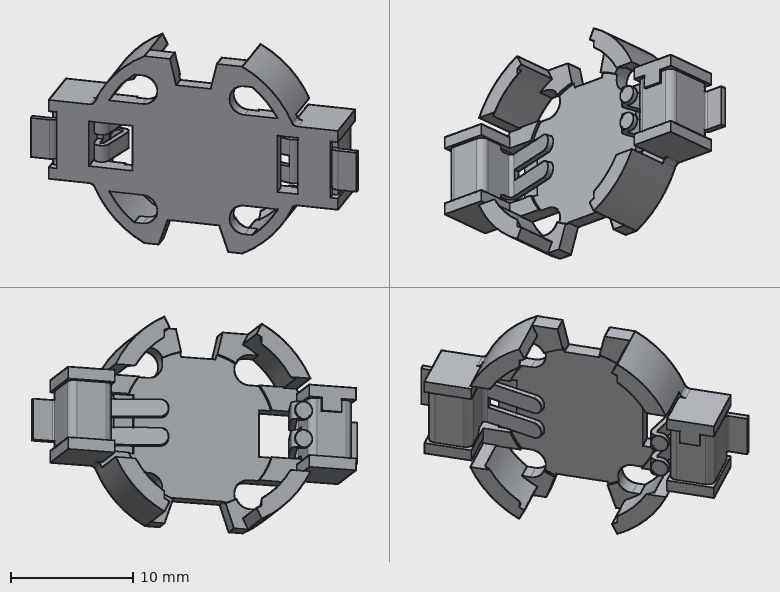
import cadquery as cq
import math


HOLDER_R = 9.2
SEAT_R = 8.2
HALF_HEIGHT = 8.2
BASE_T = 1.5
FLOOR_T = 1.25
RECESS_R = 6.5
WALL_TOP = 5.3
WALL_START_Z = 3.9
SNAP_R = 7.7
CORNER_R = 0.5

BLOCK_END = 12.3
BLOCK_START = 8.3
BLOCK_HALF_H = 3.45
BLOCK_TOP = 5.0
SADDLE_OUTER = 11.63
SADDLE_INNER = 8.9
SLOT_HALF_W = 2.47

NOTCH_FLOOR = 5.95
TOP_NOTCH = (1.47, 2.0)
BOTTOM_NOTCH = (2.2, 2.96)

WINDOW_LOW = 4.0
WINDOW_HIGH = 6.48
WINDOW_ROUND_X = 4.32

LEFT_OPENING_END = 5.18
LEFT_OPENING_HALF_W = 1.97
RIGHT_OPENING_END = 7.15
RELIEF_END = 5.55
RELIEF_FLOOR = 1.0

KEEPER_OUTER = 11.08
KEEPER_INNER = 9.42
KEEPER_LOW_Z = 1.35

STRIP_T = 0.5
INSIDE_R = 0.15
BEND_R = INSIDE_R + STRIP_T / 2
TAB_HALF_W = 1.72
LEFT_TAB_END = 13.82
RIGHT_TAB_END = 13.88
BODY_HALF_W = 2.4
BODY_BOTTOM = 0.65
BODY_TOP = 4.8
SHOULDER_Y = 2.5
SHOULDER_R = 0.3
FINGER_OUT = 1.9
FINGER_IN = 0.47
FINGER_R = (FINGER_OUT - FINGER_IN) / 2
FINGER_Z = (FINGER_OUT + FINGER_IN) / 2

SIDE_BEND_BOTTOM = 1.0
SIDE_FINGER_X = 6.87
SIDE_TIP_X = 7.75

FACE_BEND_R = 0.53
FACE_TIP = (2.88, 2.3)
FACE_SLOPE = 16


def box(x0, x1, y0, y1, z0, z1):
    size = (x1 - x0, y1 - y0, z1 - z0)
    return cq.Workplane("XY").box(*size, centered=False).translate((x0, y0, z0))


def back_plane(y=0):
    """Sketch plane with X to the right and Z up; extrude by a negative length to go toward +Y."""
    return cq.Workplane("XZ", origin=(0, y, 0))


def at_height(radius, z):
    """Point of a circle at height z, on the +X side."""
    return math.sqrt(radius**2 - z**2), z


def arc_middle(start, end, radius):
    """Middle of the arc about the origin between two of its points."""
    x, z = start[0] + end[0], start[1] + end[1]
    length = math.hypot(x, z)
    return x * radius / length, z * radius / length


def four_ways(solid):
    """The solid and its mirror images across the YZ and XY planes."""
    pair = solid.union(solid.mirror("YZ"))
    return pair.union(pair.mirror("XY"))


def base():
    disc = back_plane().circle(HOLDER_R).extrude(-BASE_T)
    disc = disc.intersect(box(-HOLDER_R, HOLDER_R, 0, BASE_T, -HALF_HEIGHT, HALF_HEIGHT))
    bar = box(-BLOCK_END, BLOCK_END, 0, BASE_T, -BLOCK_HALF_H, BLOCK_HALF_H)
    corner_x = at_height(HOLDER_R, BLOCK_HALF_H)[0]
    plate = disc.union(bar)
    for x in (-corner_x, corner_x):
        for z in (-BLOCK_HALF_H, BLOCK_HALF_H):
            corner = cq.selectors.NearestToPointSelector((x, BASE_T / 2, z))
            plate = plate.edges(corner).fillet(CORNER_R)
    return plate


def cell_walls():
    ring = back_plane().circle(HOLDER_R).circle(SEAT_R).extrude(-WALL_TOP)
    wall_end = at_height(HOLDER_R, HALF_HEIGHT)
    wall = ring.intersect(radial_sector(*wall_end))
    lip = snap_ring().intersect(box(wall_end[0], SEAT_R, 0, WALL_TOP, WALL_START_Z, SEAT_R))
    return four_ways(wall.union(lip))


def radial_sector(start_x, start_z):
    """Region above the wall's lower end, ended by the radial plane through a start point."""
    low_x = start_x * WALL_START_Z / start_z
    points = [(low_x, WALL_START_Z), (start_x, start_z), (HOLDER_R, start_z), (HOLDER_R, WALL_START_Z)]
    return back_plane().polyline(points).close().extrude(-WALL_TOP)


def snap_ring():
    height = SEAT_R - SNAP_R
    profile = [(SEAT_R, WALL_TOP - height), (SNAP_R, WALL_TOP), (SEAT_R, WALL_TOP)]
    return cq.Workplane("XY").polyline(profile).close().revolve(360, (0, 0, 0), (0, 1, 0))


def end_blocks():
    block = box(BLOCK_START, BLOCK_END, 0, BLOCK_TOP, -BLOCK_HALF_H, BLOCK_HALF_H)
    saddle_top = BODY_TOP - STRIP_T
    block = block.cut(box(SADDLE_OUTER, BLOCK_END, 0, BLOCK_TOP, -SLOT_HALF_W, SLOT_HALF_W))
    block = block.cut(box(0, BLOCK_END, saddle_top, BLOCK_TOP, -SLOT_HALF_W, SLOT_HALF_W))
    block = block.cut(box(0, SADDLE_INNER, BASE_T, BLOCK_TOP, -SLOT_HALF_W, SLOT_HALF_W))
    for x in (SADDLE_INNER, SADDLE_OUTER):
        block = block.edges(cq.selectors.NearestToPointSelector((x, saddle_top, 0))).fillet(INSIDE_R)
    return block.union(block.mirror("YZ"))


def notch(half_widths, direction):
    floor, mouth = half_widths
    z0, z1 = direction * NOTCH_FLOOR, direction * HALF_HEIGHT
    points = [(-floor, z0), (floor, z0), (mouth, z1), (-mouth, z1)]
    return back_plane().polyline(points).close().extrude(-BASE_T)


def windows():
    low = at_height(SEAT_R, WINDOW_LOW)
    high = at_height(SEAT_R, WINDOW_HIGH)
    radius = (WINDOW_HIGH - WINDOW_LOW) / 2
    window = (
        back_plane()
        .moveTo(*low)
        .lineTo(WINDOW_ROUND_X, WINDOW_LOW)
        .threePointArc((WINDOW_ROUND_X - radius, WINDOW_LOW + radius), (WINDOW_ROUND_X, WINDOW_HIGH))
        .lineTo(*high)
        .threePointArc(arc_middle(low, high, SEAT_R), low)
        .close()
        .extrude(-BASE_T)
    )
    return four_ways(window)


def floor_recess():
    return back_plane(FLOOR_T).circle(RECESS_R).extrude(FLOOR_T - BASE_T)


def make_housing():
    plate = base()
    plate = plate.cut(box(SADDLE_OUTER, BLOCK_END, 0, BASE_T, -SLOT_HALF_W, SLOT_HALF_W))
    plate = plate.cut(box(-BLOCK_END, -SADDLE_OUTER, 0, BASE_T, -SLOT_HALF_W, SLOT_HALF_W))
    plate = plate.cut(floor_recess())
    body = plate.union(end_blocks()).union(cell_walls())
    body = body.cut(notch(TOP_NOTCH, 1)).cut(notch(BOTTOM_NOTCH, -1)).cut(windows())
    left = LEFT_OPENING_HALF_W
    body = body.cut(box(-SADDLE_INNER, -LEFT_OPENING_END, 0, BASE_T, -left, left))
    body = body.cut(box(RIGHT_OPENING_END, SADDLE_INNER, 0, BASE_T, -SLOT_HALF_W, SLOT_HALF_W))
    body = body.cut(box(RELIEF_END, RIGHT_OPENING_END, RELIEF_FLOOR, BASE_T, -SLOT_HALF_W, SLOT_HALF_W))
    keeper = box(-KEEPER_OUTER, -KEEPER_INNER, BODY_TOP, BLOCK_TOP, KEEPER_LOW_Z, SLOT_HALF_W)
    return body.union(keeper)


HALF_T = STRIP_T / 2
OUTER_LEG_X = SADDLE_OUTER + HALF_T
INNER_LEG_X = SADDLE_INNER - HALF_T
TOP_Y = BODY_TOP - HALF_T


def strip(points, bends, z0, z1):
    """Sheet strip along a bent middle line in the XY plane, from z0 to z1.

    `bends` gives the radius of the middle line at each point between the two ends.
    """
    path = cq.Workplane("XY").moveTo(*points[0])
    for before, corner, after, radius in zip(points, points[1:], points[2:], bends):
        a = cq.Vector(*before).sub(cq.Vector(*corner)).normalized()
        b = cq.Vector(*after).sub(cq.Vector(*corner)).normalized()
        half_angle = a.getAngle(b) / 2
        tangent = radius / math.tan(half_angle)
        bisector = a.add(b).normalized()
        middle = bisector * (radius / math.sin(half_angle) - radius)
        corner = cq.Vector(*corner)
        path = path.lineTo(*(corner + a * tangent).toTuple()[:2])
        path = path.threePointArc((corner + middle).toTuple()[:2], (corner + b * tangent).toTuple()[:2])
    path = path.lineTo(*points[-1])
    start = cq.Vector(*points[0])
    direction = cq.Vector(*points[1]).sub(start)
    section = cq.Plane(origin=(start.x, start.y, (z0 + z1) / 2), xDir=(0, 0, 1), normal=direction)
    return cq.Workplane(section).rect(z1 - z0, STRIP_T).sweep(path)


def terminal_body(tab_end):
    tab = strip(
        [(tab_end, HALF_T), (OUTER_LEG_X, HALF_T), (OUTER_LEG_X, BODY_BOTTOM + STRIP_T)],
        [BEND_R], -TAB_HALF_W, TAB_HALF_W,
    )
    wrap = strip(
        [(OUTER_LEG_X, BODY_BOTTOM), (OUTER_LEG_X, TOP_Y), (INNER_LEG_X, TOP_Y), (INNER_LEG_X, SHOULDER_Y)],
        [BEND_R, BEND_R], -BODY_HALF_W, BODY_HALF_W,
    )
    return tab.union(wrap)


def shoulders(solid):
    """Rounds the inner corners where the wide leg narrows to the fingers."""
    for z in (-FINGER_OUT, FINGER_OUT):
        corner = cq.selectors.NearestToPointSelector((INNER_LEG_X, SHOULDER_Y, z))
        solid = solid.edges("|X").edges(corner).fillet(SHOULDER_R)
    return solid


def round_tip(center, normal, z):
    """Disc that rounds off a finger."""
    plane = cq.Plane(origin=(*center, z), xDir=(0, 0, 1), normal=normal)
    return cq.Workplane(plane).workplane(offset=-HALF_T).circle(FINGER_R).extrude(STRIP_T)


def make_left_terminal():
    tip_y = WALL_TOP - HALF_T
    low_x, low_y = INNER_LEG_X - BEND_R, SIDE_BEND_BOTTOM + HALF_T + BEND_R
    high_x, high_y = SIDE_FINGER_X + HALF_T + BEND_R, tip_y - BEND_R
    lean = math.atan2(low_x - high_x, high_y - low_y)

    def leg_x(y):
        return low_x - (y - low_y) * math.tan(lean) - BEND_R / math.cos(lean)

    fold_y = low_y - (INNER_LEG_X - leg_x(low_y)) / math.tan(lean)
    middle_line = [
        (INNER_LEG_X, SHOULDER_Y), (INNER_LEG_X, fold_y), (leg_x(tip_y), tip_y), (SIDE_TIP_X, tip_y),
    ]
    terminal = terminal_body(LEFT_TAB_END)
    for side in (-1, 1):
        z0, z1 = sorted((side * FINGER_IN, side * FINGER_OUT))
        finger = strip(middle_line, [BEND_R, BEND_R], z0, z1)
        tip = round_tip((SIDE_TIP_X, tip_y), (0, 1, 0), side * FINGER_Z)
        terminal = terminal.union(finger).union(tip)
    return shoulders(terminal).mirror("YZ")


def make_right_terminal():
    slope = math.radians(FACE_SLOPE)
    tip_x = FACE_TIP[0] + HALF_T * math.sin(slope) + FINGER_R * math.cos(slope)
    tip_y = FACE_TIP[1] + HALF_T * math.cos(slope) - FINGER_R * math.sin(slope)
    knee = (INNER_LEG_X, tip_y - (INNER_LEG_X - tip_x) * math.tan(slope))
    tip = (tip_x, tip_y)
    terminal = terminal_body(RIGHT_TAB_END)
    neck = strip([(INNER_LEG_X, SHOULDER_Y), knee, tip], [FACE_BEND_R], -FINGER_OUT, FINGER_OUT)
    gap_end = INNER_LEG_X - FACE_BEND_R * (1 + math.sin(slope)) - HALF_T * math.sin(slope)
    neck = neck.cut(box(0, gap_end, 0, WALL_TOP, -FINGER_IN, FINGER_IN))
    terminal = terminal.union(neck)
    for side in (-1, 1):
        normal = (math.sin(slope), math.cos(slope), 0)
        terminal = terminal.union(round_tip(tip, normal, side * FINGER_Z))
    return shoulders(terminal)


housing = make_housing()
left_terminal = make_left_terminal()
right_terminal = make_right_terminal()

result = cq.Compound.makeCompound([housing.val(), left_terminal.val(), right_terminal.val()])